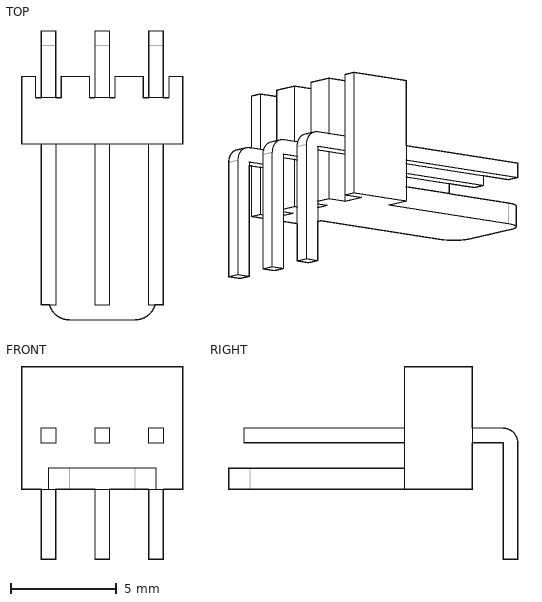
import cadquery as cq


PIN_COUNT = 3
PITCH = 2.54

BODY_WIDTH = PIN_COUNT * PITCH
BODY_DEPTH = 3.2
BODY_HEIGHT = 5.8

NOTCH_WIDTH = 1.2
NOTCH_DEPTH = 1.0

TONGUE_WIDTH = (PIN_COUNT - 1) * PITCH
TONGUE_LENGTH = 8.3
TONGUE_THICKNESS = 1.0
TONGUE_CORNER_RADIUS = 1.0

PIN_SIZE = 0.7
PIN_TOP = BODY_HEIGHT / 2
PIN_FRONT_REACH = 7.58
PIN_BACK_REACH = 2.15
PIN_TAIL_LENGTH = 3.3
BEND_RADIUS = PIN_SIZE

pin_positions = [(i - (PIN_COUNT - 1) / 2) * PITCH for i in range(PIN_COUNT)]


def make_housing():
    """Block with one full-height notch in its rear face around each pin."""
    housing = cq.Workplane("XY").box(
        BODY_WIDTH, BODY_DEPTH, BODY_HEIGHT, centered=(True, False, False)
    )
    for x in pin_positions:
        notch = cq.Workplane("XY").box(
            NOTCH_WIDTH, NOTCH_DEPTH, BODY_HEIGHT, centered=(True, False, False)
        )
        housing = housing.cut(notch.translate((x, BODY_DEPTH - NOTCH_DEPTH, 0)))
    return housing


def make_tongue():
    """Flat tongue in front of the mating face, rounded at its free corners."""
    tongue = cq.Workplane("XY").box(
        TONGUE_WIDTH, TONGUE_LENGTH, TONGUE_THICKNESS, centered=(True, False, False)
    )
    tongue = tongue.edges("|Z and <Y").fillet(TONGUE_CORNER_RADIUS)
    return tongue.translate((0, -TONGUE_LENGTH, 0))


def make_pin(x):
    """Square pin running along Y and bent down behind the housing."""
    back = BODY_DEPTH + PIN_BACK_REACH
    pin_bottom = PIN_TOP - PIN_SIZE
    pin = (
        cq.Workplane("YZ")
        .moveTo(-PIN_FRONT_REACH, PIN_TOP)
        .lineTo(back, PIN_TOP)
        .lineTo(back, -PIN_TAIL_LENGTH)
        .lineTo(back - PIN_SIZE, -PIN_TAIL_LENGTH)
        .lineTo(back - PIN_SIZE, pin_bottom)
        .lineTo(-PIN_FRONT_REACH, pin_bottom)
        .close()
        .extrude(PIN_SIZE / 2, both=True)
    )
    outer_corner = cq.selectors.NearestToPointSelector((0, back, PIN_TOP))
    pin = pin.edges(outer_corner).fillet(BEND_RADIUS)
    return pin.translate((x, 0, 0))


result = make_housing().union(make_tongue())
for pin_x in pin_positions:
    result = result.union(make_pin(pin_x))